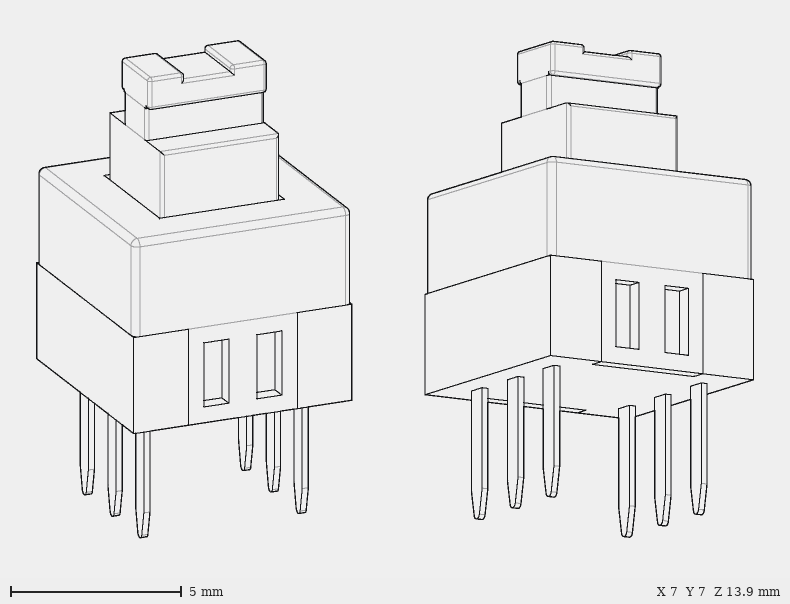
import cadquery as cq
import math


body_width = 7.0
base_height = 3.0
cover_height = 3.0
cover_top = base_height + cover_height
cover_edge_radius = 0.2
opening_width = 4.0

tab_width = 3.5
tab_thickness = 0.5
tab_center_x = (body_width - tab_thickness) / 2
window_width = 0.8
window_height = 2.0
window_spacing = 1.7
window_center_z = base_height / 2

plunger_depth = 3.8
plunger_edge_radius = 0.1
stem_width = plunger_depth
stem_rise = 2.0
stem_top = cover_top + stem_rise
neck_width = 1.6
neck_height = 1.0
neck_top = stem_top + neck_height
head_width = 2.0
head_height = 1.0
head_top = neck_top + head_height
notch_width = 1.5
notch_depth = 0.2

pin_width = 0.6
pin_thickness = 0.2
pin_length = 3.87
pin_straight_length = 3.0
pin_tip_radius = 0.15
pin_pitch = 2.0
pin_row_spacing = 5.08
pins_per_row = 3


def block(width, depth, bottom, top):
    """A box centred on the Z axis, from one height to another."""
    return cq.Workplane("XY").workplane(offset=bottom).rect(width, depth).extrude(top - bottom)


def make_tabs():
    """Both plain tabs, as one pair of blocks."""
    return (
        cq.Workplane("XY")
        .pushPoints([(-tab_center_x, 0), (tab_center_x, 0)])
        .rect(tab_thickness, tab_width)
        .extrude(base_height)
    )


def make_base():
    return block(body_width, body_width, 0, base_height).cut(make_tabs())


def make_cover():
    shell = (
        block(body_width, body_width, base_height, cover_top)
        .edges("|Z or >Z")
        .fillet(cover_edge_radius)
        .cut(block(opening_width, opening_width, base_height, cover_top))
    )
    windows = (
        cq.Workplane("YZ")
        .pushPoints([(side * window_spacing / 2, window_center_z) for side in (-1, 1)])
        .rect(window_width, window_height)
        .extrude(body_width / 2, both=True)
    )
    return shell.union(make_tabs().cut(windows), clean=False)


def make_head():
    notch_floor = head_top - notch_depth
    head = block(head_width, plunger_depth, neck_top, head_top).cut(
        block(head_width, notch_width, notch_floor, head_top)
    )
    reach = notch_depth / 2
    inside_corners = cq.selectors.BoxSelector(
        (-reach, -notch_width / 2 - reach, notch_floor - reach),
        (reach, notch_width / 2 + reach, notch_floor + reach),
    )
    head = head.edges(cq.selectors.InverseSelector(inside_corners)).fillet(plunger_edge_radius)
    return head.union(block(neck_width, plunger_depth, neck_top, notch_floor - plunger_edge_radius))


def make_plunger():
    stem = (
        block(stem_width, plunger_depth, base_height, stem_top)
        .edges("|Z or (>Z and |Y)")
        .fillet(plunger_edge_radius)
    )
    neck = block(neck_width, plunger_depth, stem_top, neck_top).edges("|Z").fillet(plunger_edge_radius)
    return stem.union(neck, clean=False).union(make_head(), clean=False)


def make_pin(x, y):
    """A flat pin below the base, tapering to a rounded tip."""
    half_width = pin_width / 2
    tip_center_z = pin_tip_radius - pin_length
    shoulder_rise = -pin_straight_length - tip_center_z
    shoulder_distance = math.hypot(half_width, shoulder_rise)
    tangent_angle = math.atan2(shoulder_rise, half_width) - math.acos(pin_tip_radius / shoulder_distance)
    tangent_x = pin_tip_radius * math.cos(tangent_angle)
    tangent_z = tip_center_z + pin_tip_radius * math.sin(tangent_angle)
    return (
        cq.Workplane("XZ", origin=(x, y, 0))
        .moveTo(-half_width, 0)
        .lineTo(half_width, 0)
        .lineTo(half_width, -pin_straight_length)
        .lineTo(tangent_x, tangent_z)
        .threePointArc((0, -pin_length), (-tangent_x, tangent_z))
        .lineTo(-half_width, -pin_straight_length)
        .close()
        .extrude(pin_thickness / 2, both=True)
    )


base = make_base()
cover = make_cover()
plunger = make_plunger()

pins = []
for row in (-1, 1):
    for column in range(pins_per_row):
        pin_x = (column - (pins_per_row - 1) / 2) * pin_pitch
        pin_y = row * pin_row_spacing / 2
        pins.append(make_pin(pin_x, pin_y).val())

result = cq.Compound.makeCompound([base.val(), cover.val(), plunger.val(), *pins])